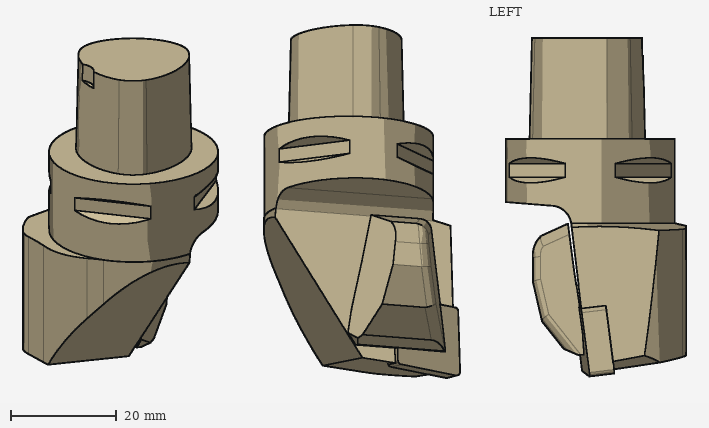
import cadquery as cq
import math

TOTAL_HEIGHT = 64.0
COLLAR_TOP = 44.9
COLLAR_BOTTOM = 29.0

SHANK_BASE_RADIUS = 10.95
SHANK_TOP_RADIUS = 10.5
LOBE_ECCENTRICITY = 0.6
LOBE_HALF_SPAN = 22.0
CURVE_STEPS = 10
NOTCH_RADIUS = 3.7
NOTCH_HEIGHT = 3.3
NOTCH_AXIS_Y = -12.8

COLLAR_RADIUS = 32.0 / 2
SLOT_LEVEL = 39.0
SLOT_FLOOR_RADIUS = 14.15
SLOT_FLOOR_HEIGHT = 2.55
SLOT_MOUTH_HEIGHT = 4.75
SLOT_LENGTH = 25.6

HEAD_FRONT_Y = -18.1
HEAD_RIM_RADIUS = 16.05
HEAD_SHOULDER_SLOPE = 0.23
RELIEF_HIGH = (16.05, 27.7)
RELIEF_LOW = (-2.6, 1.9)
SIDE_EDGE_X = -19.1
SIDE_SLOPE_Y = 0.085
SIDE_SLOPE_Z = 0.08
CORNER_POINT = (-20.6, 0, 1.8)
CORNER_NORMAL = (-2.3, -0.7, -2.5)
BOTTOM_LEVEL = 2.25
BOTTOM_SLOPE_X = 0.08
BOTTOM_SLOPE_Y = -0.137

RAKE_Y = 3.6
RAKE_LEVEL = 28.5
RAKE_SLOPE = 0.12
POCKET_CEILING = 32.0
POCKET_CEILING_RISE = 0.95
POCKET_FILLET = 3.85

INSERT_TIP = (-22.15, 0.05, -0.08)
INSERT_SIDE = 13.0
INSERT_THICKNESS = 4.75
INSERT_NOSE_RADIUS = 0.8
INSERT_SIDE_LEAN = 5.0
INSERT_TILT_X = 0.108
INSERT_TILT_Z = 0.12

CLAMP_AXIS_X = -8.95
CLAMP_FOOT_Y = 1.65
CLAMP_FOOT_LEVEL = 10.9
CLAMP_FOOT_HALF_WIDTH = 8.95
CLAMP_SIDE_TILT_Y = 0.5
CLAMP_SIDE_TILT_Z = 0.1
CLAMP_CROWN_Y = 10.9
CLAMP_ROUND_FROM_Y = 5.1
CLAMP_ROUND_FROM_Z = 6.4
CLAMP_EDGE_RADIUS = 5.2 / 2
SCREW_RADIUS = 1.9
SCREW_LEVEL = 15.35

FAR = 51.2


def rake_y(z):
    """Position of the rake face at a given level."""
    return RAKE_Y - RAKE_SLOPE * (RAKE_LEVEL - z)


def shank_point(radius, normal_angle):
    """Outline point whose outward normal makes the given angle with the X axis."""
    lobe_phase = 3 * (normal_angle - math.pi / 2)
    support = radius + LOBE_ECCENTRICITY * math.cos(lobe_phase)
    slope = -3 * LOBE_ECCENTRICITY * math.sin(lobe_phase)
    return (
        support * math.cos(normal_angle) - slope * math.sin(normal_angle),
        support * math.sin(normal_angle) + slope * math.cos(normal_angle),
    )


def shank_outline(radius, level):
    """Six curves that alternate between the rounded lobes and the flanks."""
    edges = []
    for lobe_angle in (90, 210, 330):
        for start, end in (
            (lobe_angle - LOBE_HALF_SPAN, lobe_angle + LOBE_HALF_SPAN),
            (lobe_angle + LOBE_HALF_SPAN, lobe_angle + 120 - LOBE_HALF_SPAN),
        ):
            points = []
            for step in range(CURVE_STEPS + 1):
                angle = start + (end - start) * step / CURVE_STEPS
                x, y = shank_point(radius, math.radians(angle))
                points.append(cq.Vector(x, y, level))
            edges.append(cq.Edge.makeSpline(points))
    return cq.Wire.assembleEdges(edges)


def make_shank():
    base = shank_outline(SHANK_BASE_RADIUS, COLLAR_TOP)
    top = shank_outline(SHANK_TOP_RADIUS, TOTAL_HEIGHT)
    shank = cq.Workplane(cq.Solid.makeLoft([base, top], True))
    notch = (
        cq.Workplane("XY", origin=(0, NOTCH_AXIS_Y, TOTAL_HEIGHT - NOTCH_HEIGHT))
        .circle(NOTCH_RADIUS)
        .extrude(NOTCH_HEIGHT)
    )
    return shank.cut(notch)


def make_collar():
    collar = (
        cq.Workplane("XY", origin=(0, 0, COLLAR_BOTTOM))
        .circle(COLLAR_RADIUS)
        .extrude(COLLAR_TOP - COLLAR_BOTTOM)
    )
    flare = (SLOT_MOUTH_HEIGHT - SLOT_FLOOR_HEIGHT) / 2
    slot = (
        cq.Workplane("XZ", origin=(0, SLOT_LENGTH / 2, SLOT_LEVEL))
        .moveTo(SLOT_FLOOR_RADIUS, -SLOT_FLOOR_HEIGHT / 2)
        .lineTo(COLLAR_RADIUS, -SLOT_FLOOR_HEIGHT / 2 - flare)
        .lineTo(COLLAR_RADIUS, SLOT_FLOOR_HEIGHT / 2 + flare)
        .lineTo(SLOT_FLOOR_RADIUS, SLOT_FLOOR_HEIGHT / 2)
        .close()
        .extrude(SLOT_LENGTH)
    )
    for angle in (45, 135, 225, 315):
        collar = collar.cut(slot.rotate((0, 0, 0), (0, 0, 1), angle))
    return collar


def half_space(point, outward):
    """Large block lying on the outward side of a plane."""
    return cq.Workplane(cq.Plane(point, normal=outward)).rect(4 * FAR, 4 * FAR).extrude(FAR)


def relief_block():
    run = RELIEF_HIGH[0] - RELIEF_LOW[0]
    rise = RELIEF_HIGH[1] - RELIEF_LOW[1]
    return half_space((RELIEF_LOW[0], 0, RELIEF_LOW[1]), (rise, 0, -run))


def make_head():
    back_y = 7.7
    blank_left_x = -22.4
    blank_left_y = -4.5
    rim_back_x = math.sqrt(HEAD_RIM_RADIUS**2 - back_y**2)
    rim_front_x = 10.4
    rim_front_y = -math.sqrt(HEAD_RIM_RADIUS**2 - rim_front_x**2)
    head = (
        cq.Workplane("XY")
        .moveTo(blank_left_x, back_y)
        .lineTo(blank_left_x, blank_left_y)
        .threePointArc((-17.55, -13.2), (-11.8, -17.4))
        .threePointArc((-10.2, -17.9), (-8.45, HEAD_FRONT_Y))
        .lineTo(-2.4, HEAD_FRONT_Y)
        .threePointArc((3.2, -17.3), (7.95, -14.45))
        .lineTo(rim_front_x, rim_front_y)
        .threePointArc((HEAD_RIM_RADIUS, 0), (rim_back_x, back_y))
        .close()
        .extrude(COLLAR_BOTTOM)
    )
    shoulder = (
        cq.Workplane("XZ")
        .moveTo(COLLAR_RADIUS, COLLAR_BOTTOM)
        .lineTo(FAR, COLLAR_BOTTOM)
        .lineTo(FAR, COLLAR_BOTTOM - HEAD_SHOULDER_SLOPE * (FAR - COLLAR_RADIUS))
        .close()
        .revolve(360, (0, 0, 0), (0, 1, 0))
    )
    side = half_space((SIDE_EDGE_X, RAKE_Y, RAKE_LEVEL), (-1, -SIDE_SLOPE_Y, SIDE_SLOPE_Z))
    bottom = half_space((0, 0, BOTTOM_LEVEL), (BOTTOM_SLOPE_X, BOTTOM_SLOPE_Y, -1))
    corner = half_space(CORNER_POINT, CORNER_NORMAL)
    return head.cut(shoulder).cut(relief_block()).cut(side).cut(bottom).cut(corner)


def make_chip_pocket():
    pocket = (
        cq.Workplane("YZ", origin=(-FAR, 0, 0))
        .moveTo(rake_y(-FAR), -FAR)
        .lineTo(rake_y(POCKET_CEILING), POCKET_CEILING)
        .lineTo(COLLAR_RADIUS, POCKET_CEILING + POCKET_CEILING_RISE)
        .lineTo(FAR, POCKET_CEILING + POCKET_CEILING_RISE)
        .lineTo(FAR, -FAR)
        .close()
        .extrude(2 * FAR)
    )
    corner = cq.selectors.NearestToPointSelector((0, rake_y(POCKET_CEILING), POCKET_CEILING))
    return pocket.edges(corner).fillet(POCKET_FILLET)


def make_insert():
    into_seat = (INSERT_TILT_X, -1, INSERT_TILT_Z)
    face = cq.Plane(INSERT_TIP, xDir=(1, INSERT_TILT_X, 0), normal=into_seat)
    lean = math.radians(INSERT_SIDE_LEAN)
    along = INSERT_SIDE * math.cos(lean)
    across = INSERT_SIDE * math.sin(lean)
    return (
        cq.Workplane(face)
        .polyline([(0, 0), (along, across), (along + across, along + across), (across, along)])
        .close()
        .extrude(INSERT_THICKNESS)
        .edges(cq.selectors.ParallelDirSelector(cq.Vector(into_seat)))
        .fillet(INSERT_NOSE_RADIUS)
    )


def make_clamp():
    clamp = (
        cq.Workplane("YZ", origin=(-FAR, 0, 0))
        .moveTo(4.2, 28.9)
        .lineTo(9.3, 26.6)
        .threePointArc((10.55, 24.8), (CLAMP_CROWN_Y, 22.4))
        .lineTo(CLAMP_CROWN_Y, 17.9)
        .lineTo(9.15, 10.4)
        .lineTo(5.05, 5.25)
        .lineTo(2.25, 4.0)
        .lineTo(1.2, 4.15)
        .lineTo(1.65, 10.9)
        .lineTo(3.1, 20.1)
        .close()
        .extrude(2 * FAR)
    )
    for direction in (-1, 1):
        foot = (CLAMP_AXIS_X + direction * CLAMP_FOOT_HALF_WIDTH, CLAMP_FOOT_Y, CLAMP_FOOT_LEVEL)
        clamp = clamp.cut(half_space(foot, (direction, CLAMP_SIDE_TILT_Y, CLAMP_SIDE_TILT_Z)))
    rim = clamp.edges(cq.selectors.BoxSelector(
        (-FAR, CLAMP_ROUND_FROM_Y, CLAMP_ROUND_FROM_Z), (CLAMP_AXIS_X, FAR, FAR))).edges("not |X")
    clamp = rim.fillet(CLAMP_EDGE_RADIUS)
    return clamp.cut(relief_block())


def make_screw():
    return (
        cq.Workplane("XZ", origin=(CLAMP_AXIS_X, CLAMP_CROWN_Y / 2, SCREW_LEVEL))
        .circle(SCREW_RADIUS)
        .extrude(CLAMP_CROWN_Y)
    )


insert = make_insert()
holder = make_head().union(make_collar()).cut(make_chip_pocket())
holder = holder.union(make_shank()).union(make_clamp()).union(make_screw()).cut(insert)

result = cq.Compound.makeCompound([holder.val(), insert.val()])